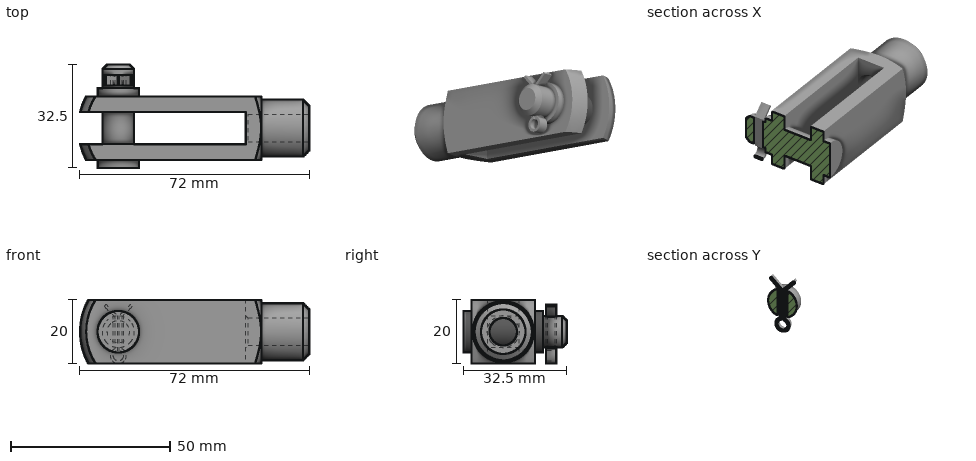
import cadquery as cq
import math

LENGTH = 72
BLOCK_SIDE = 20.0
SLOT_WIDTH = BLOCK_SIDE / 2
SLOT_END = 52.0
BLOCK_END = 57.0
NOSE_RADIUS = 21.0
END_CONE_RADIUS = 9.6
END_CONE_ANGLE = 24

SHANK_DIAMETER = 18
SHANK_CHAMFER = 2.0
BORE_DIAMETER = 8.65
BORE_CHAMFER = 0.7

PIN_X = 12.0
PIN_DIAMETER = 10.0
PIN_RADIUS = PIN_DIAMETER / 2
PIN_CHAMFER = 1.5
COLLAR_DIAMETER = 13.0
COLLAR_THICKNESS = 2.5
PIN_START = -BLOCK_SIDE / 2 - COLLAR_THICKNESS
PIN_LENGTH = 32.5

CLIP_Y = 15.05
CLIP_WIDTH = 3.3
CLIP_THICKNESS = 0.85
CLIP_GAP = 0.5
PRONG_ANGLE = 45
PRONG_REACH = 3.6
EYE_DIAMETER = 5.0
EYE_BOTTOM = -BLOCK_SIDE / 2


def cylinder_along_x(diameter, start, end):
    return cq.Workplane("YZ", origin=(start, 0, 0)).circle(diameter / 2).extrude(end - start)


def cylinder_along_y(diameter, start, length):
    plane = cq.Plane(origin=(PIN_X, start, 0), xDir=(1, 0, 0), normal=(0, 1, 0))
    return cq.Workplane(plane).circle(diameter / 2).extrude(length)


def make_turned_envelope():
    """Revolved limits of the block: spherical nose and conical relief at the shank end."""
    nose_center = math.sqrt(NOSE_RADIUS**2 - (SLOT_WIDTH / 2) ** 2)
    corner_radius = BLOCK_SIDE
    nose_rim = nose_center - math.sqrt(NOSE_RADIUS**2 - corner_radius**2)
    cone_depth = (corner_radius - END_CONE_RADIUS) * math.tan(math.radians(END_CONE_ANGLE))
    half_sweep = math.asin(corner_radius / NOSE_RADIUS) / 2
    nose_middle = (
        nose_center - NOSE_RADIUS * math.cos(half_sweep),
        NOSE_RADIUS * math.sin(half_sweep),
    )
    return (
        cq.Workplane("XY")
        .moveTo(nose_center - NOSE_RADIUS, 0)
        .threePointArc(nose_middle, (nose_rim, corner_radius))
        .lineTo(BLOCK_END - cone_depth, corner_radius)
        .lineTo(BLOCK_END, END_CONE_RADIUS)
        .lineTo(BLOCK_END, 0)
        .close()
        .revolve(360, (0, 0, 0), (1, 0, 0))
    )


def make_clevis():
    nose_overhang = NOSE_RADIUS - math.sqrt(NOSE_RADIUS**2 - (SLOT_WIDTH / 2) ** 2)
    fork_start = -nose_overhang
    along_x = (False, True, True)
    block = cq.Workplane("XY", origin=(fork_start, 0, 0)).box(
        BLOCK_END - fork_start, BLOCK_SIDE, BLOCK_SIDE, centered=along_x
    )
    slot = cq.Workplane("XY", origin=(fork_start, 0, 0)).box(
        SLOT_END - fork_start, SLOT_WIDTH, BLOCK_SIDE, centered=along_x
    )
    shank = cylinder_along_x(SHANK_DIAMETER, BLOCK_END, LENGTH).faces(">X").chamfer(SHANK_CHAMFER)
    bore = cylinder_along_x(BORE_DIAMETER, SLOT_END, LENGTH)
    countersink = (
        cq.Workplane("YZ", origin=(SLOT_END, 0, 0))
        .circle(BORE_DIAMETER / 2 + BORE_CHAMFER)
        .extrude(BORE_CHAMFER, taper=45)
    )
    return block.intersect(make_turned_envelope()).cut(slot).union(shank).cut(bore).cut(countersink)


def make_pin():
    shaft = cylinder_along_y(PIN_DIAMETER, PIN_START, PIN_LENGTH).faces(">Y").chamfer(PIN_CHAMFER)
    head = cylinder_along_y(COLLAR_DIAMETER, PIN_START, COLLAR_THICKNESS)
    collar = cylinder_along_y(COLLAR_DIAMETER, BLOCK_SIDE / 2, COLLAR_THICKNESS)
    hole = (
        cq.Workplane("XY", origin=(PIN_X, CLIP_Y, -PIN_DIAMETER))
        .circle(CLIP_WIDTH / 2)
        .extrude(2 * PIN_DIAMETER)
    )
    return shaft.cut(hole).union(head).union(collar)


def make_split_pin():
    plane = cq.Workplane("XZ", origin=(PIN_X, CLIP_Y + CLIP_WIDTH / 2, 0))
    eye_center = EYE_BOTTOM + EYE_DIAMETER / 2
    inner_radius = EYE_DIAMETER / 2 - CLIP_THICKNESS

    inner_x = CLIP_GAP / 2
    outer_x = inner_x + CLIP_THICKNESS
    outer_bend = PIN_RADIUS - CLIP_THICKNESS * math.tan(math.radians(PRONG_ANGLE / 2))
    end_offset = CLIP_THICKNESS * math.sin(math.radians(PRONG_ANGLE))
    tip_x = inner_x + PRONG_REACH
    tip_z = PIN_RADIUS + PRONG_REACH
    leg = (
        plane.moveTo(inner_x, eye_center)
        .lineTo(inner_x, PIN_RADIUS)
        .lineTo(tip_x, tip_z)
        .lineTo(tip_x + end_offset, tip_z - end_offset)
        .lineTo(outer_x, outer_bend)
        .lineTo(outer_x, eye_center)
        .close()
        .extrude(CLIP_WIDTH)
    )
    legs = leg.union(leg.mirror("YZ", (PIN_X, 0, 0)))
    eye = plane.center(0, eye_center).circle(EYE_DIAMETER / 2).extrude(CLIP_WIDTH)
    eye_opening = plane.center(0, eye_center).circle(inner_radius).extrude(CLIP_WIDTH)
    throat = (
        plane.center(0, eye_center + EYE_DIAMETER / 2)
        .rect(CLIP_GAP, EYE_DIAMETER)
        .extrude(CLIP_WIDTH)
    )
    return legs.union(eye).cut(eye_opening).cut(throat)


result = make_clevis().union(make_pin()).union(make_split_pin())